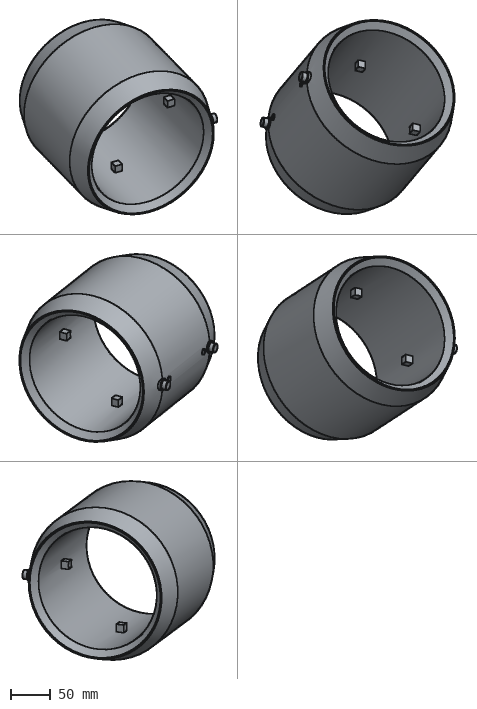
import cadquery as cq

length = 181.0
barrel_length = 121.0
outer_radius = 100.0
end_radius = 90.3
bore_radius = 80.0
lead_in = 8.3

lug_width = 10.0
lug_tip_radius = bore_radius - lug_width
lug_count = 4

terminal_top = 108.5
terminal_radius = 6.0
terminal_chamfer = 0.6
collar_top = 101.7
collar_radius = 8.0
collar_chamfer = 0.8
button_top = 100.7
button_radius = 4.0
button_offset = 44.2
wall_middle = (outer_radius + bore_radius) / 2


def make_sleeve():
    half = length / 2
    half_barrel = barrel_length / 2
    mouth_radius = bore_radius + lead_in
    profile = [
        (-half, mouth_radius),
        (-half, end_radius),
        (-half_barrel, outer_radius),
        (half_barrel, outer_radius),
        (half, end_radius),
        (half, mouth_radius),
        (half - lead_in, bore_radius),
        (lead_in - half, bore_radius),
    ]
    return cq.Workplane("XY").polyline(profile).close().revolve(360, (0, 0, 0), (1, 0, 0))


def make_lug(angle):
    """Square lug rooted in the wall, with a tip concentric with the bore."""
    root = wall_middle
    block = cq.Workplane("XY").box(lug_width, lug_width, root).translate((0, 0, root / 2))
    tip_cutter = cq.Workplane("YZ").circle(lug_tip_radius).extrude(lug_width, both=True)
    return block.cut(tip_cutter).rotate((0, 0, 0), (1, 0, 0), angle)


def make_post(x, radius, top):
    """Round post along +Y, from the middle of the wall up to the given top."""
    plane = cq.Plane(origin=(x, wall_middle, 0), xDir=(1, 0, 0), normal=(0, 1, 0))
    return cq.Workplane(plane).circle(radius).extrude(top - wall_middle)


def make_terminal(x):
    collar = make_post(x, collar_radius, collar_top).faces(">Y").chamfer(collar_chamfer)
    pin = make_post(x, terminal_radius, terminal_top).faces(">Y").chamfer(terminal_chamfer)
    return collar.union(pin)


result = make_sleeve()

for index in range(lug_count):
    result = result.union(make_lug(index * 360 / lug_count))

for side in (-1, 1):
    result = result.union(make_terminal(side * barrel_length / 2))
    result = result.union(make_post(side * button_offset, button_radius, button_top))